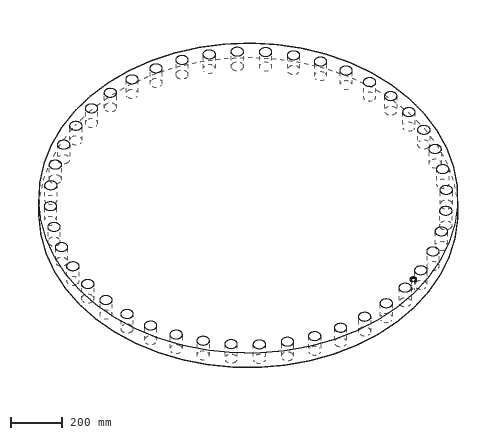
import cadquery as cq

DISC_DIAMETER = 1625.6
DISC_THICKNESS = 84.2

BOLT_COUNT = 44
BOLT_CIRCLE_DIAMETER = 1536.7
BOLT_HOLE_DIAMETER = 47.6
BOLT_PITCH_ANGLE = 360 / BOLT_COUNT

STEPPED_HOLE_ANGLE = BOLT_PITCH_ANGLE / 2
COUNTERBORE_DIAMETER = 26.0
COUNTERBORE_DEPTH = 4.0
MIDDLE_BORE_DIAMETER = 16.0
MIDDLE_BORE_DEPTH = 42.0
INNER_BORE_DIAMETER = 8.0
INNER_BORE_DEPTH = 58.0


def make_disc():
    """Plain round plate standing on the XY plane."""
    return cq.Workplane("XY").circle(DISC_DIAMETER / 2).extrude(DISC_THICKNESS)


def make_bolt_holes():
    """Cutters for the ring of bolt holes through the full thickness."""
    return (
        cq.Workplane("XY")
        .polarArray(BOLT_CIRCLE_DIAMETER / 2, 0, 360, BOLT_COUNT)
        .circle(BOLT_HOLE_DIAMETER / 2)
        .extrude(DISC_THICKNESS)
    )


def make_bore(diameter, depth):
    """Cylinder on the Z axis reaching down from the top face by the given depth."""
    return cq.Workplane("XY", origin=(0, 0, DISC_THICKNESS)).circle(diameter / 2).extrude(-depth)


def make_stepped_hole():
    """Cutter for the stepped blind hole, which narrows twice below the top face."""
    counterbore = make_bore(COUNTERBORE_DIAMETER, COUNTERBORE_DEPTH)
    middle_bore = make_bore(MIDDLE_BORE_DIAMETER, MIDDLE_BORE_DEPTH)
    inner_bore = make_bore(INNER_BORE_DIAMETER, INNER_BORE_DEPTH)
    cutter = counterbore.union(middle_bore).union(inner_bore)
    on_x_axis = cutter.translate((BOLT_CIRCLE_DIAMETER / 2, 0, 0))
    return on_x_axis.rotate((0, 0, 0), (0, 0, 1), STEPPED_HOLE_ANGLE)


result = make_disc().cut(make_bolt_holes()).cut(make_stepped_hole())